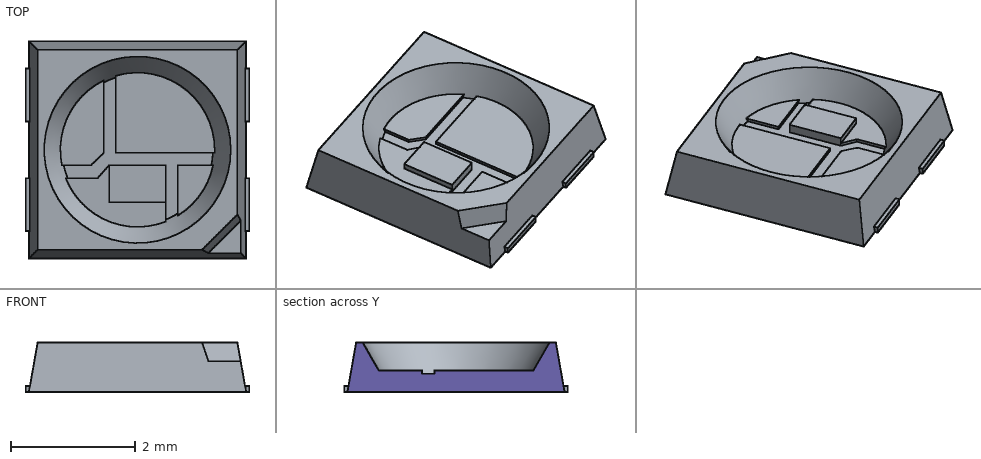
import cadquery as cq
import math

LENGTH = 3.6
BODY_WIDTH = 3.5
HEIGHT = 0.8
SIDE_DRAFT = 10.0

BOWL_RADIUS = 1.5
BOWL_WALL_ANGLE = 30.0
PAD_DEPTH = 0.45
PAD_THICKNESS = 0.05
FLOOR_DEPTH = PAD_DEPTH + PAD_THICKNESS

PAD_GAP = 0.195
MAIN_PAD_LEFT = -0.35
MAIN_PAD_FRONT = -0.05
LEFT_PAD_RIGHT = MAIN_PAD_LEFT - PAD_GAP
FRONT_PADS_BACK = MAIN_PAD_FRONT - PAD_GAP
LEFT_PAD_CHAMFER = 0.2
CHIP_PAD_RIGHT = 0.455
RIGHT_PAD_LEFT = CHIP_PAD_RIGHT + PAD_GAP
CHIP_PAD_STEP = 0.21
CHIP_PAD_STEP_RUN = 0.187

CHIP_LENGTH = 0.907
CHIP_WIDTH = 0.6
CHIP_HEIGHT = 0.1
CHIP_LEFT = CHIP_PAD_RIGHT - CHIP_LENGTH

LEAD_WIDTH = 0.855
LEAD_SPACING = 1.765
LEAD_HEIGHT = 0.1
LEAD_REACH = 0.2

NOTCH_DEPTH = 0.3
NOTCH_DISTANCE = 1.872
NOTCH_DRAFT = 20.0

PAD_Z = HEIGHT - PAD_DEPTH
FLOOR_Z = HEIGHT - FLOOR_DEPTH


def make_body():
    return cq.Workplane("XY").rect(BODY_WIDTH, BODY_WIDTH).extrude(HEIGHT, taper=SIDE_DRAFT)


def make_bowl():
    floor_radius = BOWL_RADIUS - FLOOR_DEPTH * math.tan(math.radians(BOWL_WALL_ANGLE))
    profile = [(0, FLOOR_Z), (floor_radius, FLOOR_Z), (BOWL_RADIUS, HEIGHT), (0, HEIGHT)]
    return cq.Workplane("XZ").polyline(profile).close().revolve(360, (0, 0), (0, 1))


def make_pads(bowl):
    """Pads reach past the bowl wall and are trimmed to it."""
    rim = BOWL_RADIUS
    chip_pad_step_y = FRONT_PADS_BACK - CHIP_PAD_STEP
    outlines = [
        [
            (MAIN_PAD_LEFT, MAIN_PAD_FRONT),
            (rim, MAIN_PAD_FRONT),
            (rim, rim),
            (MAIN_PAD_LEFT, rim),
        ],
        [
            (-rim, FRONT_PADS_BACK),
            (LEFT_PAD_RIGHT - LEFT_PAD_CHAMFER, FRONT_PADS_BACK),
            (LEFT_PAD_RIGHT, MAIN_PAD_FRONT),
            (LEFT_PAD_RIGHT, rim),
            (-rim, rim),
        ],
        [
            (-rim, -rim),
            (CHIP_PAD_RIGHT, -rim),
            (CHIP_PAD_RIGHT, FRONT_PADS_BACK),
            (CHIP_LEFT, FRONT_PADS_BACK),
            (CHIP_LEFT - CHIP_PAD_STEP_RUN, chip_pad_step_y),
            (-rim, chip_pad_step_y),
        ],
        [
            (RIGHT_PAD_LEFT, -rim),
            (rim, -rim),
            (rim, FRONT_PADS_BACK),
            (RIGHT_PAD_LEFT, FRONT_PADS_BACK),
        ],
    ]
    pads = cq.Workplane("XY")
    for outline in outlines:
        pad = cq.Workplane("XY", origin=(0, 0, FLOOR_Z)).polyline(outline).close()
        pads = pads.add(pad.extrude(PAD_THICKNESS))
    return pads.combine().intersect(bowl)


def make_chip():
    corner = (CHIP_LEFT, FRONT_PADS_BACK - CHIP_WIDTH, PAD_Z)
    chip = cq.Workplane("XY").box(CHIP_LENGTH, CHIP_WIDTH, CHIP_HEIGHT, centered=False)
    return chip.translate(corner)


def make_leads():
    lead_x = (LENGTH - LEAD_REACH) / 2
    lead_y = LEAD_SPACING / 2
    centers = [(x, y) for x in (-lead_x, lead_x) for y in (-lead_y, lead_y)]
    return cq.Workplane("XY").pushPoints(centers).rect(LEAD_REACH, LEAD_WIDTH).extrude(LEAD_HEIGHT)


def make_notch():
    """Prism across the +X -Y corner; it is drawn along the diagonal and turned into place."""
    lean = NOTCH_DEPTH * math.tan(math.radians(NOTCH_DRAFT))
    bottom = HEIGHT - NOTCH_DEPTH
    profile = [
        (NOTCH_DISTANCE, HEIGHT),
        (NOTCH_DISTANCE + lean, bottom),
        (LENGTH, bottom),
        (LENGTH, HEIGHT),
    ]
    prism = cq.Workplane("XZ").polyline(profile).close().extrude(LENGTH / 2, both=True)
    return prism.rotate((0, 0, 0), (0, 0, 1), -45)


bowl = make_bowl()
pads = make_pads(bowl)
housing = make_body().cut(bowl).cut(make_notch())
result = housing.union(pads).union(make_chip()).union(make_leads())